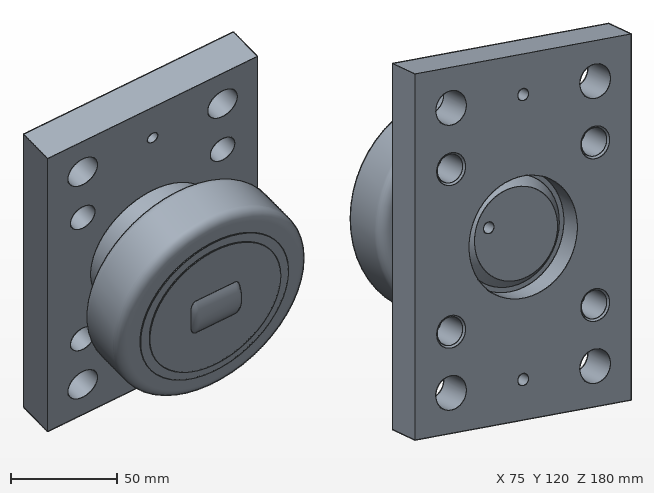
import cadquery as cq

plate_height = 180.0
plate_width = 120.0
plate_thickness = 20.0

hole_offset_y = 40.0
mounting_hole_offset_z = 70.0
mounting_hole_diameter = 17.0
threaded_hole_offset_z = hole_offset_y
threaded_hole_diameter = 14.0
threaded_hole_chamfer = 0.99
pin_hole_diameter = 6.0

neck_radius = 35.5
collar_radius = 37.5
collar_width = 2.0
roller_radius = 54.0
roller_start = 40.1
roller_width = 30.2
roller_end = roller_start + roller_width
roller_fillet = 5.0
cover_radius = 42.3
cover_thickness = 0.63
cover_end = roller_end + cover_thickness
boss_thickness = 0.63
boss_end = cover_end + boss_thickness

part_length = 75.0
pad_height = part_length - boss_end
pad_width = 28.0
pad_chord = 20.9
pad_fillet = 2.9

recess_radius = 30.0
recess_depth = 11.9
shaft_end_radius = 27.5
shaft_end_face_radius = 23.0
shaft_end_height = 5.5

grease_hole_y = 15.1
grease_hole_z = 5.4
grease_hole_radius = 2.9
grease_hole_depth = 10.0
grease_hole_tip = 1.6


def x_cylinder(radius, start, end, y=0, z=0):
    """Cylinder parallel to X between two X positions."""
    return cq.Workplane("YZ", origin=(start, y, z)).circle(radius).extrude(end - start)


def x_cone(radius, end_radius, start, end, y=0, z=0):
    """Cone or frustum parallel to X between two X positions."""
    solid = cq.Solid.makeCone(
        radius, end_radius, end - start, pnt=cq.Vector(start, y, z), dir=cq.Vector(1, 0, 0)
    )
    return cq.Workplane(obj=solid)


def make_plate():
    plate = cq.Workplane("YZ").rect(plate_width, plate_height).extrude(plate_thickness)
    for side in (-1, 1):
        z_mount = side * mounting_hole_offset_z
        plate = plate.cut(x_cylinder(pin_hole_diameter / 2, 0, plate_thickness, 0, z_mount))
        for y in (-hole_offset_y, hole_offset_y):
            plate = plate.cut(x_cylinder(mounting_hole_diameter / 2, 0, plate_thickness, y, z_mount))
            z_thread = side * threaded_hole_offset_z
            bore_radius = threaded_hole_diameter / 2
            plate = plate.cut(x_cylinder(bore_radius, 0, plate_thickness, y, z_thread))
            mouth_radius = bore_radius + threaded_hole_chamfer
            plate = plate.cut(x_cone(mouth_radius, bore_radius, 0, threaded_hole_chamfer, y, z_thread))
    return plate


def make_roller():
    neck = x_cylinder(neck_radius, plate_thickness, roller_start)
    collar = x_cylinder(collar_radius, roller_start - collar_width, roller_start)
    roller = x_cylinder(roller_radius, roller_start, roller_end).edges().fillet(roller_fillet)
    cover = x_cylinder(cover_radius, roller_end, cover_end)
    boss = x_cylinder(collar_radius, cover_end, boss_end)
    return neck.union(collar).union(roller).union(cover).union(boss)


def make_pad():
    """Circular segment along Y with its two curved end edges rounded."""
    half_chord = pad_chord / 2
    pad = (
        cq.Workplane("XZ", origin=(0, pad_width / 2, 0))
        .moveTo(boss_end, -half_chord)
        .threePointArc((boss_end + pad_height, 0), (boss_end, half_chord))
        .close()
        .extrude(pad_width)
    )
    return pad.edges("%CIRCLE").fillet(pad_fillet)


def make_shaft_end():
    return x_cone(
        shaft_end_face_radius, shaft_end_radius, recess_depth - shaft_end_height, recess_depth
    )


def make_grease_hole():
    start = recess_depth - shaft_end_height
    bottom = start + grease_hole_depth
    bore = x_cylinder(grease_hole_radius, start, bottom, grease_hole_y, grease_hole_z)
    tip = x_cone(grease_hole_radius, 0, bottom, bottom + grease_hole_tip, grease_hole_y, grease_hole_z)
    return bore.union(tip)


body = make_plate().union(make_roller()).union(make_pad())
body = body.cut(x_cylinder(recess_radius, 0, recess_depth))
result = body.union(make_shaft_end()).cut(make_grease_hole())